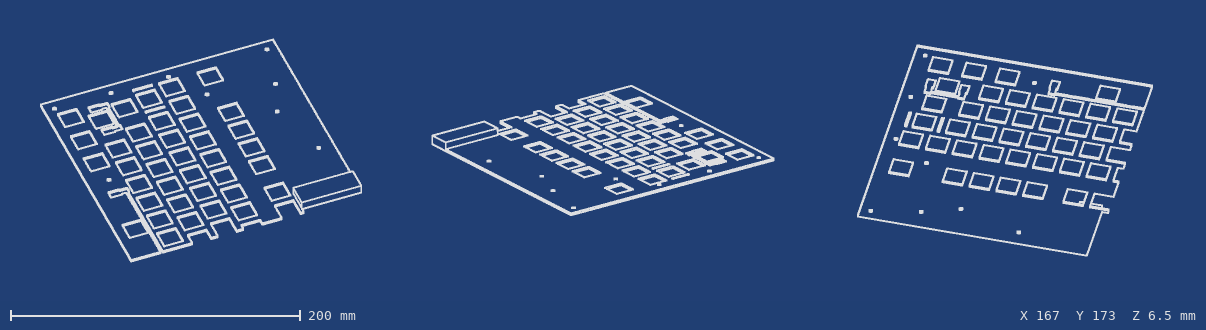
import cadquery as cq

plate_width = 167.0
plate_length = 173.0
plate_thickness = 1.5
total_height = 6.5

block_left = 147.1
block_right = 162.8
block_front = 128.5

key_pitch = 19.0
key_size = 14.0
key_left_margin = 10.7
front_row_margin = 7.5

key_rows = [
    (0.0, [0.125, 1.375, 2.625, 6.375]),
    (1.0, [0.625, 2.25, 3.25, 4.25, 5.25, 6.25, 7.25]),
    (2.0, [0.375, 1.75, 2.75, 3.75, 4.75, 5.75, 6.75, 7.75]),
    (3.0, [0.25, 1.5, 2.5, 3.5, 4.5, 5.5, 6.5, 7.5]),
    (4.0, [0.0, 1.0, 2.0, 3.0, 4.0, 5.0, 6.0, 7.0, 8.0]),
    (5.5, [0.0, 2.0, 3.0, 4.0, 5.0, 6.5, 7.5]),
]

slit_width = 1.4
slit_offset = 11.6
slit_row = 3.0
slit_key = 0.25

stabilizer_width = 5.7
neck_width = 4.3
stabilizer_height = 13.8
wide_height = 8.1
stabilizer_rise = 3.0
wire_slot_height = 1.5
stabilizer_offset = 12.0
stabilizer_row = 1.0
stabilizer_key = 0.625
wire_gap = 0.5
front_row = 0.0
long_stabilizer_x = 101.2

hole_diameter = 2.2
edge_hole_x = 7.5
edge_hole_heights = [7.5, 49.5, 92.2, 165.5]
inner_holes = [(87.0, 15.7), (33.5, 110.4), (67.5, 148.8), (41.5, 158.2), (111.8, 161.8)]


def box(left, right, front, rear, height):
    """Box standing on the underside plane, given by its four sides."""
    block = cq.Workplane("XY").box(right - left, rear - front, height, centered=False)
    return block.translate((left, front, 0))


def through_cut(left, right, front, rear):
    """Rectangular cutter through the plate."""
    return box(left, right, front, rear, plate_thickness)


def centered_cut(center_x, width, front, rear):
    """Rectangular cutter through the plate, centered on a place along X."""
    return through_cut(center_x - width / 2, center_x + width / 2, front, rear)


def key_left(column):
    return key_left_margin + column * key_pitch


def key_front(row):
    return front_row_margin + row * key_pitch


def key_center(column):
    return key_left(column) + key_size / 2


def stabilizer_cut(center_x, row):
    """Stepped cutout whose neck rises above the key openings of its row."""
    rear = key_front(row) + key_size + stabilizer_rise
    front = rear - stabilizer_height
    wide = centered_cut(center_x, stabilizer_width, front, front + wide_height)
    neck = centered_cut(center_x, neck_width, front, rear)
    return wide.union(neck)


def wire_slot(left, right, row):
    """Slot for the stabilizer wire, just above the key openings of its row."""
    front = key_front(row) + key_size + wire_gap
    return through_cut(left, right, front, front + wire_slot_height)


result = box(0, block_right, 0, plate_length, plate_thickness)
result = result.union(box(block_right, plate_width, 0, block_front, plate_thickness))
result = result.union(box(block_left, block_right, block_front, plate_length, total_height))

for row, columns in key_rows:
    for column in columns:
        left = key_left(column)
        front = key_front(row)
        result = result.cut(through_cut(left, left + key_size, front, front + key_size))

for side in (-1, 1):
    center_x = key_center(slit_key) + side * slit_offset
    front = key_front(slit_row)
    result = result.cut(centered_cut(center_x, slit_width, front, front + key_size))

stabilizer_center = key_center(stabilizer_key)
pair_left = stabilizer_center - stabilizer_offset
pair_right = stabilizer_center + stabilizer_offset
result = result.cut(stabilizer_cut(pair_left, stabilizer_row))
result = result.cut(stabilizer_cut(pair_right, stabilizer_row))
result = result.cut(wire_slot(pair_left, pair_right, stabilizer_row))

result = result.cut(stabilizer_cut(long_stabilizer_x, front_row))
result = result.cut(wire_slot(long_stabilizer_x, plate_width, front_row))

hole_places = [(edge_hole_x, height) for height in edge_hole_heights] + inner_holes
holes = cq.Workplane("XY").pushPoints(hole_places).circle(hole_diameter / 2).extrude(plate_thickness)
result = result.cut(holes)